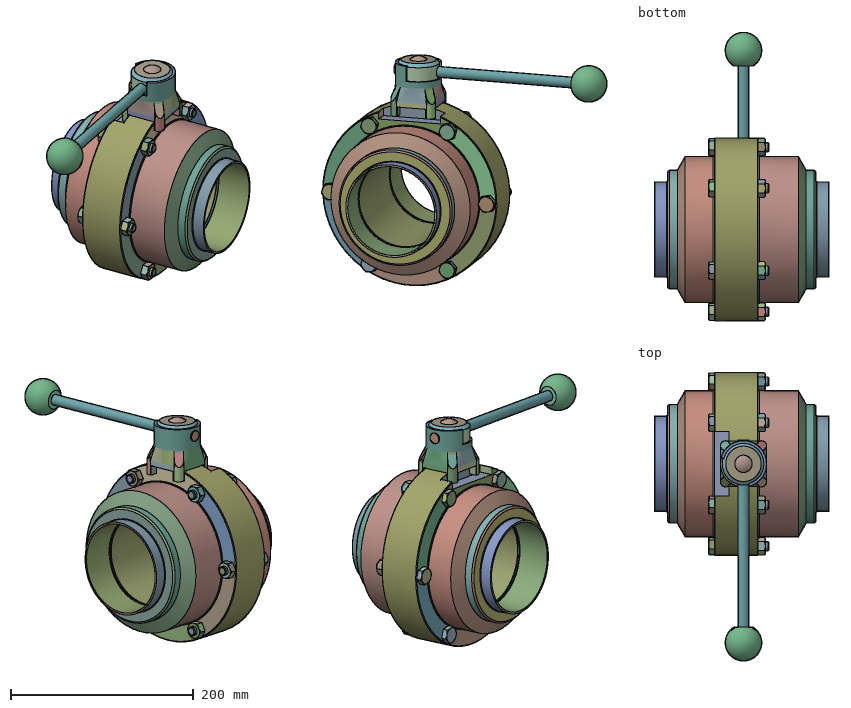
import cadquery as cq
import math


BORE_DIA = 100.0
PIPE_DIA = 104.0
PIPE_LENGTH = 190.0
PIPE_END_X = PIPE_LENGTH / 2
BEAD_DIA = 105.3
BEAD_WIDTH = 1.0
SEAL_GROOVE_DIA = 102.2
SEAL_GROOVE_WIDTH = 2.5
SEAL_GROOVE_X = 55.5
COLLAR_DIA = 130.0
COLLAR_END_X = 81.0
COLLAR_CHAMFER = 2.0
CONE_SMALL_X = 70.3
BODY_DIA = 160.0
BODY_END_X = 61.8

FLANGE_DIA = 200.0
FLANGE_LEFT_X = -30.0
FLANGE_RIGHT_X = 18.0
FLANGE_CHAMFER = 1.0
LIP_DIA = 161.8
LIP_WIDTH = 1.3
POCKET_RIGHT_X = -14.0
POCKET_WIDTH = 70.5
POCKET_FLOOR_Z = 85.0

BOLT_COUNT = 6
BOLT_CIRCLE_RADIUS = 90.0
BOLT_DIA = 10.0
BOLT_CHAMFER = 1.0
BOLT_END_X = 29.5
HEX_ACROSS_FLATS = 17.0
HEX_CORNER_DIA = HEX_ACROSS_FLATS / math.cos(math.pi / 6)
HEAD_THICKNESS = 6.3
HEAD_TURN = 13.0
NUT_START_X = 18.0
NUT_END_X = 26.0

STEM_X = 2.0
PLATE_SIZE = 49.8
LEG_SPAN = 50.5
CHANNEL_WIDTH = 32.2
CHANNEL_TOP_Z = 98.5
LEG_DIA = 11.7
LEG_BOTTOM_Z = 87.7
RIB_WIDTH = 10.0
RIB_TOP_REACH = 24.5
PLATE_FLAT = 34.0
PLATE_TOP_Z = 104.0
NECK_BOTTOM_Z = 120.5
LEDGE_Z = 128.0
SHELL_TOP_Z = 144.7
SHELL_DIA = 50.5
HUB_DIA = 46.5
HUB_TOP_Z = 147.5
HUB_CHAMFER = 3.8
CAP_DIA = 19.0
CAP_HEIGHT = 3.5
SWING_CENTRE_ANGLE = 225.0
SWING_HALF_ANGLE = 60.0

LEVER_DIA = 12.0
BALL_DIA = 40.0
BALL_TIP_Y = -215.5
BALL_TOP_Z = 155.0
BALL_Y = BALL_TIP_Y + BALL_DIA / 2
BALL_FLAT = 17.0
LEVER_Z = BALL_TOP_Z - BALL_DIA / 2
LEVER_TAIL_Y = 26.2


def disc_x(diameter, x_start, x_end):
    """Round disc about the bore axis."""
    return cq.Workplane("YZ", origin=(x_start, 0, 0)).circle(diameter / 2).extrude(x_end - x_start)


def disc_z(diameter, z_start, z_end, x=STEM_X, y=0.0):
    """Round disc standing along Z, on the stem axis unless placed elsewhere."""
    return cq.Workplane("XY", origin=(x, y, z_start)).circle(diameter / 2).extrude(z_end - z_start)


def valve_body():
    """Pipe stubs with their beads, collars and conical shoulders, mirrored about the bore centre."""
    half = [
        (0, BODY_DIA / 2),
        (BODY_END_X, BODY_DIA / 2),
        (CONE_SMALL_X, COLLAR_DIA / 2),
        (COLLAR_END_X - COLLAR_CHAMFER, COLLAR_DIA / 2),
        (COLLAR_END_X, COLLAR_DIA / 2 - COLLAR_CHAMFER),
        (COLLAR_END_X, BEAD_DIA / 2),
        (COLLAR_END_X + BEAD_WIDTH, BEAD_DIA / 2),
        (COLLAR_END_X + BEAD_WIDTH, PIPE_DIA / 2),
        (PIPE_END_X, PIPE_DIA / 2),
        (PIPE_END_X, 0),
    ]
    mirrored = [(-x, r) for x, r in reversed(half[1:])]
    return cq.Workplane("XY").polyline(mirrored + half).close().revolve(360, (0, 0, 0), (1, 0, 0))


def flange():
    """Bolted flange pair with its thin lips and the pocket under the housing."""
    ring = disc_x(FLANGE_DIA, FLANGE_LEFT_X, FLANGE_RIGHT_X).edges().chamfer(FLANGE_CHAMFER)
    lips = disc_x(LIP_DIA, FLANGE_LEFT_X - LIP_WIDTH, FLANGE_RIGHT_X + LIP_WIDTH)
    pocket = cq.Workplane("XY").box(
        POCKET_RIGHT_X - FLANGE_LEFT_X, POCKET_WIDTH, FLANGE_DIA / 2, centered=(False, True, False)
    )
    return ring.cut(pocket.translate((FLANGE_LEFT_X, 0, POCKET_FLOOR_Z))).union(lips)


def hexagon(x_start, x_end, turn):
    """Hexagonal prism along X with a corner pointing along Y when turn is zero."""
    prism = cq.Workplane("YZ").polygon(6, HEX_CORNER_DIA).extrude(x_end - x_start)
    return prism.rotate((0, 0, 0), (1, 0, 0), turn).translate((x_start, 0, 0))


def hex_trim(x_start, x_end, at_start):
    """Disc with one chamfered rim that bevels the corners of a hexagon."""
    face = "<X" if at_start else ">X"
    bevel = (HEX_CORNER_DIA - HEX_ACROSS_FLATS) / 2
    return disc_x(HEX_CORNER_DIA, x_start, x_end).faces(face).edges().chamfer(bevel)


def bolt():
    """Bolt head, shank and nut along X on the bore axis."""
    head_x = FLANGE_LEFT_X - HEAD_THICKNESS
    head = hexagon(head_x, FLANGE_LEFT_X, -HEAD_TURN).intersect(hex_trim(head_x, FLANGE_LEFT_X, True))
    nut = hexagon(NUT_START_X, NUT_END_X, 0).intersect(hex_trim(NUT_START_X, NUT_END_X, False))
    shank = disc_x(BOLT_DIA, FLANGE_LEFT_X, BOLT_END_X).faces(">X").edges().chamfer(BOLT_CHAMFER)
    return shank.union(head).union(nut)


def channel_slab(size_x, size_y, z_start, z_end):
    """Rectangular slab centred on the stem axis."""
    return cq.Workplane("XY", origin=(STEM_X, 0, z_start)).rect(size_x, size_y).extrude(z_end - z_start)


def corner_rib(angle):
    """Sloping rib from the outer edge of a leg up to the neck, rounded to match the leg."""
    leg_reach = (LEG_SPAN - LEG_DIA) / math.sqrt(2)
    profile = [
        (0, PLATE_TOP_Z),
        (leg_reach + LEG_DIA / 2, PLATE_TOP_Z),
        (RIB_TOP_REACH, NECK_BOTTOM_Z),
        (0, NECK_BOTTOM_Z),
    ]
    wedge = cq.Workplane("XZ").polyline(profile).close().extrude(RIB_WIDTH / 2, both=True)
    rounded = cq.Workplane("XY").slot2D(2 * leg_reach + LEG_DIA, LEG_DIA).extrude(NECK_BOTTOM_Z)
    return wedge.intersect(rounded).rotate((0, 0, 0), (0, 0, 1), angle).translate((STEM_X, 0, 0))


def plate_outline(z):
    """Square with cut corners around the stem axis."""
    side = PLATE_SIZE / 2
    flat = PLATE_FLAT / 2
    quarter = [(side, -flat), (side, flat)]
    outline = []
    for _ in range(4):
        outline += quarter
        quarter = [(-y, x) for x, y in quarter]
    return cq.Workplane("XY", origin=(STEM_X, 0, z)).polyline(outline).close()


def blend():
    """Loft from the square plate to the round neck."""
    neck = plate_outline(PLATE_TOP_Z).workplane(offset=NECK_BOTTOM_Z - PLATE_TOP_Z)
    return neck.circle(SHELL_DIA / 2).loft()


def housing_base():
    """Square plate on four round legs, with crossing channels underneath."""
    leg_offset = (LEG_SPAN - LEG_DIA) / 2
    base = plate_outline(LEG_BOTTOM_Z).extrude(PLATE_TOP_Z - LEG_BOTTOM_Z)
    for side_x in (-1, 1):
        for side_y in (-1, 1):
            leg_x = STEM_X + side_x * leg_offset
            base = base.union(disc_z(LEG_DIA, LEG_BOTTOM_Z, PLATE_TOP_Z, leg_x, side_y * leg_offset))
    for size_x, size_y in ((CHANNEL_WIDTH, LEG_SPAN), (LEG_SPAN, CHANNEL_WIDTH)):
        base = base.cut(channel_slab(size_x, size_y, LEG_BOTTOM_Z, CHANNEL_TOP_Z))
    return base


def housing_skirt():
    """Skirt that blends from the square plate into the round neck, with its corner ribs."""
    skirt = blend()
    for angle in (45, 135, 225, 315):
        skirt = skirt.union(corner_rib(angle), clean=False)
    return skirt


def housing_neck():
    """Round neck around the lever hub, open where the lever swings."""
    return disc_z(SHELL_DIA, NECK_BOTTOM_Z, SHELL_TOP_Z).cut(swing_window())


def swing_window():
    """Sector above the ledge that frees the lever to swing."""
    def rim_point(angle):
        turn = math.radians(angle)
        return (SHELL_DIA * math.cos(turn), SHELL_DIA * math.sin(turn))

    sector = (
        cq.Workplane("XY", origin=(STEM_X, 0, LEDGE_Z))
        .lineTo(*rim_point(SWING_CENTRE_ANGLE - SWING_HALF_ANGLE))
        .threePointArc(rim_point(SWING_CENTRE_ANGLE), rim_point(SWING_CENTRE_ANGLE + SWING_HALF_ANGLE))
        .close()
        .extrude(SHELL_TOP_Z - LEDGE_Z)
    )
    return sector


def dome(base_dia, height):
    """Shallow spherical cap standing on the XY plane."""
    radius = (base_dia ** 2 / 4 + height ** 2) / (2 * height)
    ball = cq.Workplane("XY").sphere(radius).translate((0, 0, height - radius))
    return ball.intersect(cq.Workplane("XY").circle(base_dia).extrude(height))


def hub():
    """Lever hub inside the housing shell, topped by a domed cap."""
    core = disc_z(HUB_DIA, NECK_BOTTOM_Z, HUB_TOP_Z).faces(">Z").edges().chamfer(HUB_CHAMFER)
    return core.union(dome(CAP_DIA, CAP_HEIGHT).translate((STEM_X, 0, HUB_TOP_Z)))


def lever():
    """Straight rod through the hub carrying a ball knob with a flat."""
    rod = cq.Workplane("XZ", origin=(STEM_X, LEVER_TAIL_Y, LEVER_Z)).circle(LEVER_DIA / 2)
    rod = rod.extrude(LEVER_TAIL_Y - BALL_Y)
    flat_side = cq.Workplane("XY").box(BALL_DIA, BALL_DIA, BALL_DIA, centered=(True, False, True))
    ball = cq.Workplane("XY").sphere(BALL_DIA / 2).cut(flat_side.translate((0, BALL_FLAT, 0)))
    return rod.union(ball.translate((STEM_X, BALL_Y, LEVER_Z)))


def bolted_shell():
    """Body, flange and bolt circle with the bore and its seal grooves cut through."""
    shell = valve_body().union(flange())
    for index in range(BOLT_COUNT):
        angle = 2 * math.pi * index / BOLT_COUNT
        offset = (0, BOLT_CIRCLE_RADIUS * math.cos(angle), BOLT_CIRCLE_RADIUS * math.sin(angle))
        shell = shell.union(bolt().translate(offset))
    shell = shell.cut(disc_x(BORE_DIA, -PIPE_END_X, PIPE_END_X))
    half_width = SEAL_GROOVE_WIDTH / 2
    for groove_x in (-SEAL_GROOVE_X, SEAL_GROOVE_X):
        shell = shell.cut(disc_x(SEAL_GROOVE_DIA, groove_x - half_width, groove_x + half_width))
    return shell


result = (
    bolted_shell()
    .union(housing_base())
    .union(housing_neck())
    .union(hub())
    .union(lever())
    .union(housing_skirt(), clean=False)
)